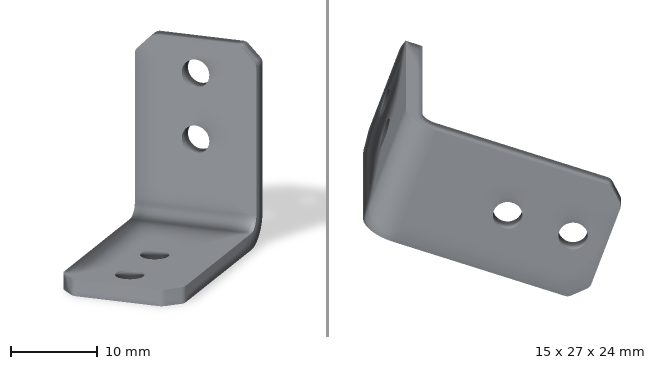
import cadquery as cq

width = 15.0
base_length = 27.0
wall_height = 24.0
thickness = 2.0
bend_inner_radius = 1.6
hole_diameter = 3.4
hole_end_distance = 4.0
hole_spacing = 8.0
corner_chamfer = 2.0
corner_blend_radius = 1.0

bend_outer_radius = bend_inner_radius + thickness
hole_end_distances = [hole_end_distance, hole_end_distance + hole_spacing]


def bent_strip():
    """L-shaped strip with its free base end at Y = 0 and its wall at Y = base_length."""
    profile = (
        cq.Workplane("YZ")
        .moveTo(0, 0)
        .lineTo(base_length, 0)
        .lineTo(base_length, wall_height)
        .lineTo(base_length - thickness, wall_height)
        .lineTo(base_length - thickness, thickness)
        .lineTo(0, thickness)
        .close()
    )
    strip = profile.extrude(width / 2, both=True)
    inner_edge = cq.selectors.NearestToPointSelector((0, base_length - thickness, thickness))
    strip = strip.edges(inner_edge).fillet(bend_inner_radius)
    return strip.edges(">Y and <Z").fillet(bend_outer_radius)


def base_holes():
    points = [(0, distance) for distance in hole_end_distances]
    return cq.Workplane("XY").pushPoints(points).circle(hole_diameter / 2).extrude(thickness)


def wall_holes():
    points = [(0, wall_height - distance) for distance in hole_end_distances]
    plane = cq.Workplane("XZ", origin=(0, base_length, 0))
    return plane.pushPoints(points).circle(hole_diameter / 2).extrude(thickness)


def trim_free_corners(body):
    """Chamfer the free corners of both legs, then round the chamfer ends."""
    for corner_edges in ("|Z and <Y", "|Y and >Z"):
        body = body.edges(corner_edges).chamfer(corner_chamfer)
    base_region = cq.selectors.BoxSelector(
        (-width, -thickness, -thickness), (width, base_length / 2, thickness)
    )
    wall_region = cq.selectors.BoxSelector(
        (-width, 0, wall_height / 2), (width, base_length + thickness, wall_height + thickness)
    )
    body = body.edges(base_region).edges("|Z").fillet(corner_blend_radius)
    return body.edges(wall_region).edges("|Y").fillet(corner_blend_radius)


result = trim_free_corners(bent_strip()).cut(base_holes()).cut(wall_holes())